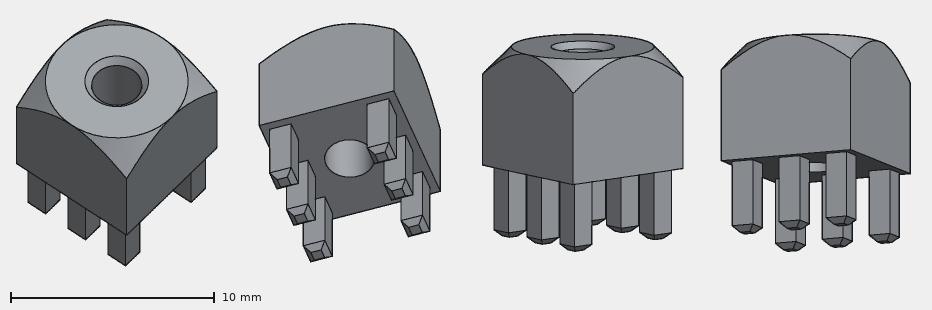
import cadquery as cq

body_width = 7.0
total_height = 9.5
pin_length = 3.51
body_height = total_height - pin_length

bore_diameter = 2.46
countersink_diameter = 3.13

pin_width = 1.12
pin_pitch = 2.54
pin_tip_chamfer = 0.29
pin_columns = (-1, 0, 1)
pin_rows = (-1, 1)


def make_body():
    """Square block whose top corners are turned off by a 45 degree cone."""
    block = cq.Workplane("XY").rect(body_width, body_width).extrude(body_height)
    top_radius = body_width / 2
    base_radius = top_radius + body_height
    cone = (
        cq.Workplane("XZ")
        .polyline([(0, 0), (base_radius, 0), (top_radius, body_height), (0, body_height)])
        .close()
        .revolve(360, (0, 0), (0, 1))
    )
    return block.intersect(cone)


def cut_bore(body):
    """Through bore, countersunk at the top face."""
    return body.cut(make_bore_tool())


def make_bore_tool():
    bore_radius = bore_diameter / 2
    rim_radius = countersink_diameter / 2
    countersink_bottom = body_height - (rim_radius - bore_radius)
    profile = [
        (0, 0),
        (bore_radius, 0),
        (bore_radius, countersink_bottom),
        (rim_radius, body_height),
        (0, body_height),
    ]
    return cq.Workplane("XZ").polyline(profile).close().revolve(360, (0, 0), (0, 1))


def make_pin(x, y):
    """Pin hanging below the body, with its tip chamfered on all four sides."""
    pin = cq.Workplane("XY").rect(pin_width, pin_width).extrude(-pin_length)
    return pin.faces("<Z").chamfer(pin_tip_chamfer).translate((x, y, 0))


result = cut_bore(make_body())
for column in pin_columns:
    for row in pin_rows:
        result = result.union(make_pin(column * pin_pitch, row * pin_pitch))